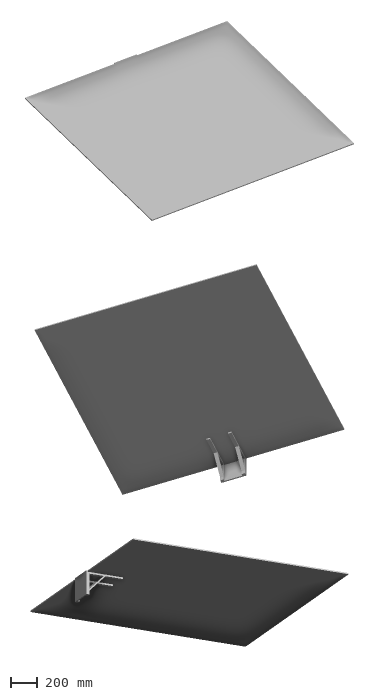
import cadquery as cq

plate_side = 1800.0
plate_thickness = 10.0

wall_plate_thickness = 10.0
wall_plate_width = 203.0
wall_plate_height = 190.0

frame_width = 29.0
post_face = 27.0
arm_end = 308.0
arm_depth = 24.0
brace_foot = 33.0
brace_thickness = 10.0

table_underside = wall_plate_height - plate_thickness
arm_underside = wall_plate_height - arm_depth
frame_offset = (wall_plate_width - frame_width) / 2


def extruded_profile(points, width):
    """Extrude an XZ outline to the given width, centred on Y = 0."""
    return cq.Workplane("XZ").polyline(points).close().extrude(width / 2, both=True)


def make_table_top():
    """Square sheet starting at the wall plate and flush with its top."""
    return (
        cq.Workplane("XY")
        .box(plate_side, plate_side, plate_thickness, centered=(False, True, False))
        .translate((wall_plate_thickness, 0, table_underside))
    )


def make_wall_plate():
    """Upright plate that carries the frames."""
    return cq.Workplane("XY").box(
        wall_plate_thickness, wall_plate_width, wall_plate_height, centered=(False, True, False)
    )


def make_frame():
    """Post, arm and 45 degree brace of one frame, centred on Y = 0."""
    post_and_arm = extruded_profile([
        (wall_plate_thickness, 0),
        (post_face, 0),
        (post_face, arm_underside),
        (arm_end, arm_underside),
        (arm_end, table_underside),
        (wall_plate_thickness, table_underside),
    ], frame_width)

    vertical_thickness = brace_thickness * 2 ** 0.5
    lower_run = arm_underside - brace_foot
    upper_run = lower_run - vertical_thickness
    brace = extruded_profile([
        (post_face, brace_foot),
        (post_face + lower_run, arm_underside),
        (post_face + upper_run, arm_underside),
        (post_face, brace_foot + vertical_thickness),
    ], frame_width)
    return post_and_arm.union(brace)


result = make_table_top().union(make_wall_plate())
for side in (-1, 1):
    result = result.union(make_frame().translate((0, side * frame_offset, 0)))